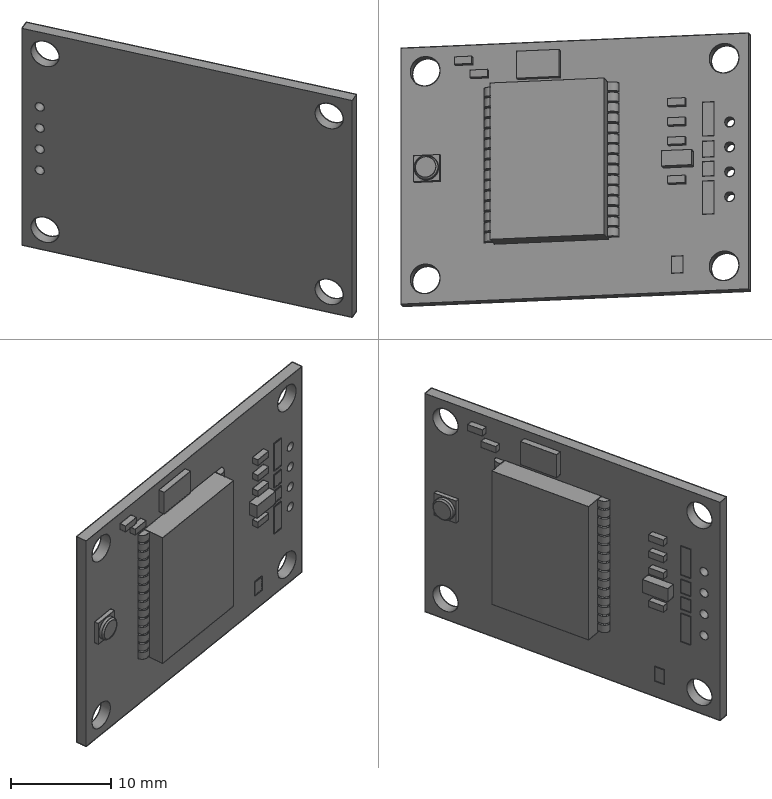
import cadquery as cq


board_width = 35.4
board_height = 26.2
board_thickness = 1.2
total_depth = 3.5
front_y = -total_depth / 2
mount_y = front_y + board_thickness

mount_hole_diameter = 3.0
mount_hole_spacing_x = 30.45
mount_hole_spacing_z = 21.25

header_hole_diameter = 1.0
header_hole_count = 4
header_pitch = 2.55
header_x = -15.8
header_centre_z = 0.25

module_width = 11.6
module_length = 16.0
module_height = total_depth - board_thickness
module_x = 2.35
module_z = 0.6
pin_count = 15
pin_pitch = 1.05
pin_width = 0.9
pin_reach = 1.05
pin_height = 0.67
pin_centre_z = 0.67

chip_length = 1.77
chip_width = 0.75
chip_height = 0.67
chip_column_x = -10.48
chip_pitch = 2.0
chip_top_z = 6.23
chip_count = 5
large_slot = 3
upper_chip_x = 11.22
lower_chip_x = 9.63
corner_chip_pitch = 1.4

large_length = 3.05
large_width = 1.55
large_height = 1.0
large_x = -10.6
large_z = 0.42

flat_length = 4.32
flat_width = 2.75
flat_height = 0.67
flat_x = 3.6
flat_z = 10.73

connector_x = 14.97
connector_base = 2.65
connector_base_height = 0.45
connector_diameter = 2.45
connector_height = 1.0
connector_chamfer = 0.18

pad_x = -13.63
pad_width = 1.17
pad_height = 0.1
header_pads = [(4.45, 3.47), (1.38, 1.63), (-0.65, 1.5), (-3.58, 3.4)]
lower_pad_z = -10.3
lower_pad_length = 1.75


def block(x, z, size_x, size_z, height):
    """Rectangular component standing on the mounting face, centred at (x, z)."""
    base = cq.Workplane("XY").box(size_x, height, size_z, centered=(True, False, True))
    return base.translate((x, mount_y, z))


def round_post(x, z, diameter, start_y, length):
    """Cylinder along +Y from start_y, centred at (x, z)."""
    post = cq.Workplane("XZ").circle(diameter / 2).extrude(-length)
    return post.translate((x, start_y, z))


def row_offset(index, count, pitch):
    """Signed distance of one item from the middle of an evenly spaced row."""
    return (index - (count - 1) / 2) * pitch


def make_board():
    board = block(0, 0, board_width, board_height, board_thickness)
    board = board.translate((0, -board_thickness, 0))
    for side_x in (-1, 1):
        for side_z in (-1, 1):
            x = side_x * mount_hole_spacing_x / 2
            z = side_z * mount_hole_spacing_z / 2
            board = board.cut(round_post(x, z, mount_hole_diameter, front_y, board_thickness))
    for index in range(header_hole_count):
        z = header_centre_z + row_offset(index, header_hole_count, header_pitch)
        board = board.cut(round_post(header_x, z, header_hole_diameter, front_y, board_thickness))
    return board


def make_module():
    module = block(module_x, module_z, module_width, module_length, module_height)
    for index in range(pin_count):
        z = pin_centre_z + row_offset(index, pin_count, pin_pitch)
        pin_span = module_width + 2 * pin_reach
        outline = (
            cq.Workplane("XY")
            .moveTo(-pin_span / 2, 0)
            .radiusArc((-pin_span / 2 + pin_height, pin_height), pin_height)
            .lineTo(pin_span / 2 - pin_height, pin_height)
            .radiusArc((pin_span / 2, 0), pin_height)
            .close()
        )
        pin = outline.extrude(pin_width / 2, both=True)
        module = module.union(pin.translate((module_x, mount_y, z)))
    return module


def make_chips():
    chips = []
    for index in range(chip_count):
        if index != large_slot:
            z = chip_top_z - index * chip_pitch
            chips.append(block(chip_column_x, z, chip_length, chip_width, chip_height))
    for x, side in ((upper_chip_x, 1), (lower_chip_x, -1)):
        z = flat_z + side * corner_chip_pitch / 2
        chips.append(block(x, z, chip_length, chip_width, chip_height))
    return chips


def make_connector():
    base = block(connector_x, module_z, connector_base, connector_base, connector_base_height)
    socket = round_post(connector_x, module_z, connector_diameter, mount_y, connector_height)
    return base.union(socket.faces(">Y").chamfer(connector_chamfer))


components = [
    make_module(),
    *make_chips(),
    block(large_x, large_z, large_length, large_width, large_height),
    block(flat_x, flat_z, flat_length, flat_width, flat_height),
    make_connector(),
    block(chip_column_x, lower_pad_z, pad_width, lower_pad_length, pad_height),
]
for pad_z, pad_length in header_pads:
    components.append(block(pad_x, pad_z, pad_width, pad_length, pad_height))

result = make_board()
for component in components:
    result = result.union(component)